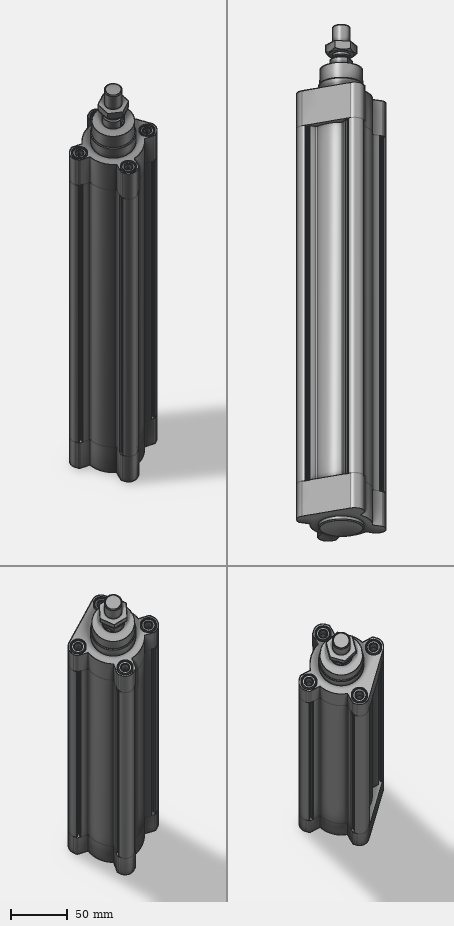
import cadquery as cq
import math


total_height = 478
rear_boss_height = 4.0
cap_height = 33.5
cap_top = 409.5
collar_step = 422.5
collar_top = 436.5
barrel_bottom = rear_boss_height + cap_height
barrel_top = cap_top - cap_height

body_width = 64.0
half_width = body_width / 2
core_radius = 27.5
lobe_radius = 8.5
cap_flank_fillet = 2.5
barrel_root_fillet = 1.5

groove_mouth_width = 4.0
groove_mouth_depth = 1.5
groove_slot_width = 2.0
groove_slot_depth = 4.0
groove_distance = 35.0

collar_diameter = 40.0
nose_top_diameter = 37.7
collar_chamfer = 1.0
nose_base_diameter = collar_diameter - 2 * collar_chamfer

screw_spacing = 46.5
counterbore_diameter = 14.5
counterbore_depth = 2.0
head_diameter = 13.5
head_rim_diameter = 11.5
head_height = 1.5
thread_hole_diameter = 6.5
thread_mouth_diameter = 8.0
thread_hole_depth = 12.0
drill_point_height = 2.0

rod_diameter = 20.0
flat_width = 17.0
flat_height = 7.0
thread_diameter = 16.0
thread_length = 32.0
thread_chamfer = 1.0
undercut_diameter = 13.5
undercut_height = 2.5
undercut_chamfer = 1.0
shoulder = total_height - thread_length
thread_bottom = shoulder + undercut_height

nut_width = 24
nut_height = 8.5
nut_top = 460.0
nut_bottom = nut_top - nut_height
nut_face_diameter = 22.5
nut_chamfer_height = 2.0


def cylinder(diameter, bottom, top):
    return cq.Workplane("XY").workplane(offset=bottom).circle(diameter / 2).extrude(top - bottom)


def cone(bottom_diameter, top_diameter, bottom, top):
    solid = cq.Solid.makeCone(bottom_diameter / 2, top_diameter / 2, top - bottom, cq.Vector(0, 0, bottom))
    return cq.Workplane(solid)


def at_four_corners(body):
    """Copies of a body made on the +X +Y diagonal, turned to all four corners."""
    return [body.rotate((0, 0, 0), (0, 0, 1), 90 * quarter) for quarter in range(4)]


def cap_lobe(bottom, top):
    """Square corner with a rounded tip and flanks parallel to the diagonal."""
    root = math.sqrt(2) * lobe_radius
    flank_end = half_width - root
    outline = [(root, 0), (half_width, flank_end), (half_width, half_width), (flank_end, half_width), (0, root)]
    lobe = cq.Workplane("XY").workplane(offset=bottom).polyline(outline).close().extrude(top - bottom)
    middle = (bottom + top) / 2
    for (x, y), radius in zip(outline[1:4], (cap_flank_fillet, lobe_radius, cap_flank_fillet)):
        lobe = lobe.edges(cq.NearestToPointSelector((x, y, middle))).fillet(radius)
    return lobe


def make_cap(bottom, top):
    """End cap: round core with four lobes, and a flat back filling the +Y side."""
    cap = cylinder(2 * core_radius, bottom, top)
    for lobe in at_four_corners(cap_lobe(bottom, top)):
        cap = cap.union(lobe)
    back_width = 2 * (half_width - lobe_radius)
    back = (
        cq.Workplane("XY").workplane(offset=bottom)
        .center(0, half_width / 2).rect(back_width, half_width).extrude(top - bottom)
    )
    return cap.union(back)


def make_barrel():
    """Profile tube: round core with four fully round lobes and a sensor groove in every lobe flank."""
    height = barrel_top - barrel_bottom
    base = cq.Workplane("XY").workplane(offset=barrel_bottom)
    tip_distance = math.sqrt(2) * (half_width - lobe_radius)
    lobe = (
        base.center(tip_distance / 2, 0).rect(tip_distance, 2 * lobe_radius).extrude(height)
        .union(base.center(tip_distance, 0).circle(lobe_radius).extrude(height))
    )
    barrel = cylinder(2 * core_radius, barrel_bottom, barrel_top)
    for corner in at_four_corners(lobe.rotate((0, 0, 0), (0, 0, 1), 45)):
        barrel = barrel.union(corner)

    root_angle = math.asin(lobe_radius / core_radius)
    middle = (barrel_bottom + barrel_top) / 2
    for quarter in range(4):
        for side in (-1, 1):
            angle = math.radians(45 + 90 * quarter) + side * root_angle
            root = (core_radius * math.cos(angle), core_radius * math.sin(angle), middle)
            barrel = barrel.edges(cq.NearestToPointSelector(root)).fillet(barrel_root_fillet)

    for width, depth in ((groove_mouth_width, groove_mouth_depth), (groove_slot_width, groove_slot_depth)):
        offset = lobe_radius - depth / 2
        grooves = (
            base.pushPoints([(groove_distance, -offset), (groove_distance, offset)])
            .rect(width, depth).extrude(height)
        )
        for corner_grooves in at_four_corners(grooves.rotate((0, 0, 0), (0, 0, 1), 45)):
            barrel = barrel.cut(corner_grooves)
    return barrel


def screw_recess():
    """Space around and inside one sunk cap screw."""
    floor = cap_top - counterbore_depth
    head_top = floor + head_height
    rim_height = (head_diameter - head_rim_diameter) / 2
    mouth_height = (thread_mouth_diameter - thread_hole_diameter) / 2
    hole_bottom = cap_top - thread_hole_depth
    head = cylinder(head_diameter, floor, head_top).faces(">Z").chamfer(rim_height)
    return (
        cylinder(counterbore_diameter, floor, cap_top)
        .cut(head)
        .union(cylinder(thread_hole_diameter, hole_bottom, head_top))
        .union(cone(thread_hole_diameter, thread_mouth_diameter, head_top - mouth_height, head_top))
        .union(cone(0, thread_hole_diameter, hole_bottom - drill_point_height, hole_bottom))
    )


def make_housing():
    rear_boss = cylinder(collar_diameter, 0, rear_boss_height).faces("<Z").chamfer(collar_chamfer)
    collar = cylinder(collar_diameter, cap_top, collar_step).faces(">Z").chamfer(collar_chamfer)
    nose = cone(nose_base_diameter, nose_top_diameter, collar_step, collar_top)
    housing = (
        make_barrel()
        .union(make_cap(rear_boss_height, barrel_bottom), clean=False)
        .union(make_cap(barrel_top, cap_top), clean=False)
        .union(rear_boss, clean=False)
        .union(collar, clean=False)
        .union(nose, clean=False)
        .cut(cylinder(rod_diameter, barrel_top, collar_top), clean=False)
    )
    recess = screw_recess().translate((screw_spacing / 2, screw_spacing / 2, 0))
    for corner_recess in at_four_corners(recess):
        housing = housing.cut(corner_recess, clean=False)
    return housing


def make_rod():
    shaft = cylinder(rod_diameter, barrel_top, shoulder)
    flats = (
        cq.Workplane("XY").workplane(offset=shoulder - flat_height)
        .rect(2 * rod_diameter, 2 * rod_diameter).rect(flat_width, 2 * rod_diameter).extrude(flat_height)
    )
    undercut = cylinder(undercut_diameter, shoulder, thread_bottom)
    thread = cylinder(thread_diameter, thread_bottom, total_height).faces("<Z or >Z").chamfer(thread_chamfer)
    undercut_root = cone(
        undercut_diameter + 2 * undercut_chamfer, undercut_diameter, shoulder, shoulder + undercut_chamfer
    )
    return shaft.cut(flats).union(undercut).union(undercut_root).union(thread)


def make_nut():
    """Hexagon with two sides facing along X and a turned chamfer at the bottom."""
    corner_width = nut_width / math.cos(math.radians(30))
    chamfer_top = nut_bottom + nut_chamfer_height
    turned_blank = (
        cone(nut_face_diameter, corner_width, nut_bottom, chamfer_top)
        .union(cylinder(corner_width, chamfer_top, nut_top))
    )
    return (
        cq.Workplane("XY").workplane(offset=nut_bottom)
        .polygon(6, nut_width, circumscribed=True).extrude(nut_height)
        .intersect(turned_blank)
        .cut(cylinder(thread_diameter, nut_bottom, nut_top))
    )


housing = make_housing()
rod = make_rod()
nut = make_nut()

result = cq.Compound.makeCompound([housing.val(), rod.val(), nut.val()])